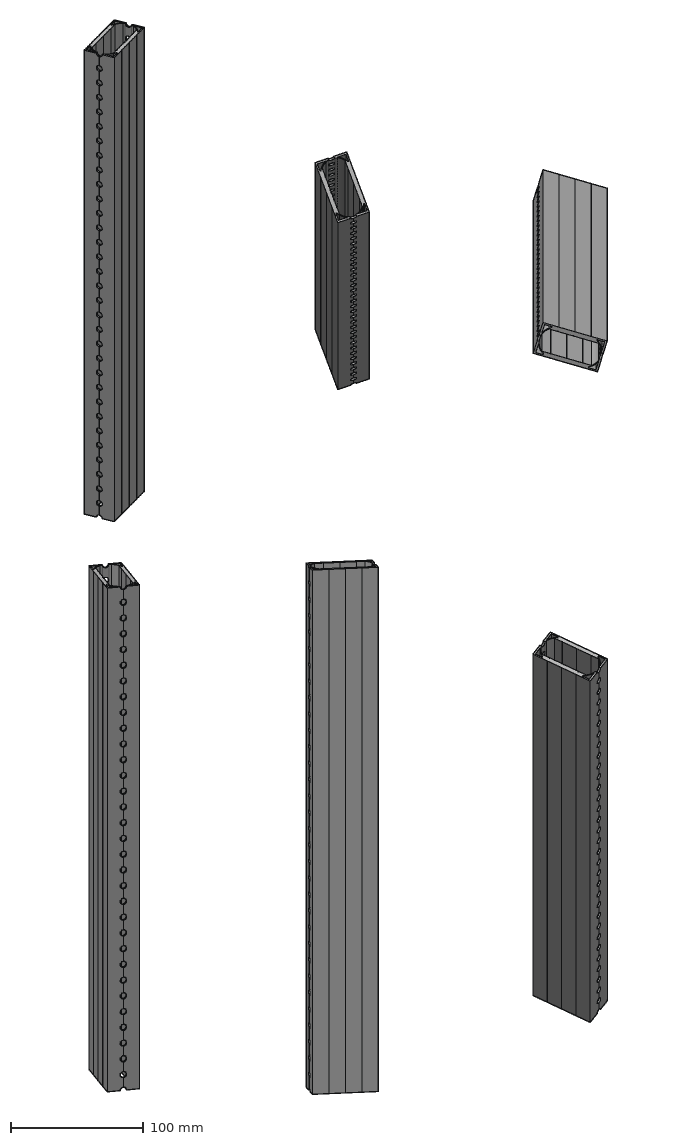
import cadquery as cq

length = 406.5
pitch = length / 32
width = 2 * pitch
depth = 4 * pitch

narrow_wall = 1.5
pocket_wall = 1.2
cavity_width = 18.3
end_radius = 11.5
web = 0.6
pocket_end = 18.0

hole_diameter = 5.0
groove_width = 0.15
groove_depth = 0.1

inner_depth = depth - 2 * narrow_wall


def block(size_x, size_y):
    """Full-length rectangular bar centred on the Z axis."""
    return cq.Workplane("XY").box(size_x, size_y, length, centered=(True, True, False))


def end_rounds(radius):
    """Two full-length cylinders on the centres of the rounded cavity ends."""
    return (
        cq.Workplane("XY")
        .pushPoints([(0, -pitch), (0, pitch)])
        .circle(radius)
        .extrude(length)
    )


def main_cavity():
    """Flat-sided slot with an arc across each corner."""
    rounded_ends = end_rounds(end_radius).intersect(block(cavity_width, inner_depth))
    return block(cavity_width, 2 * pitch).union(rounded_ends)


def corner_pockets():
    """Four pockets left between the outer walls and the curved webs."""
    inside = block(width - 2 * pocket_wall, inner_depth)
    return inside.cut(block(width, 2 * pocket_end)).cut(end_rounds(end_radius + web))


def groove(x, y, into_x, into_y):
    """Full-length V groove at (x, y) on a wall; (into_x, into_y) points into the material."""
    half = groove_width / 2
    return (
        cq.Workplane("XY")
        .polyline([
            (x - into_y * half, y + into_x * half),
            (x + into_x * groove_depth, y + into_y * groove_depth),
            (x + into_y * half, y - into_x * half),
        ])
        .close()
        .extrude(length)
    )


tube = block(width, depth).cut(main_cavity()).cut(corner_pockets())

for side in (-1, 1):
    for y in (-pitch, 0, pitch):
        tube = tube.cut(groove(side * width / 2, y, -side, 0))
        tube = tube.cut(groove(side * cavity_width / 2, y, side, 0))
    tube = tube.cut(groove(0, side * depth / 2, 0, -side))

hole_count = round(length / pitch) + 1
holes = (
    cq.Workplane("XZ", origin=(0, depth / 2, 0))
    .pushPoints([(0, i * pitch) for i in range(hole_count)])
    .circle(hole_diameter / 2)
    .extrude(depth)
)

result = tube.cut(holes)